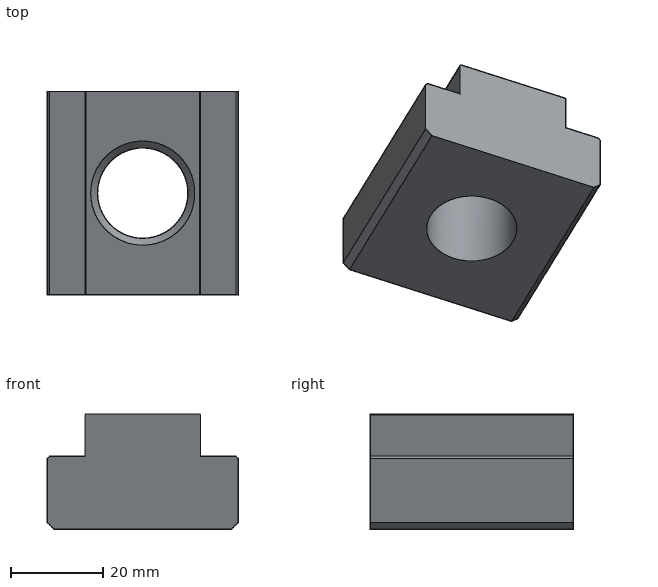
import cadquery as cq

length = 44.0
base_width = 41.3
total_height = 25.0

base_height = 15.85
neck_width = 25.0
bottom_chamfer = 1.5
shoulder_chamfer = 0.55
neck_chamfer = 0.2

bore_diameter = 19.5
countersink_diameter = 22.55
countersink_angle = 90.0


def chamfered_block(width, height, bottom, top_chamfer):
    """Centred block along Y with its two top lengthwise edges chamfered."""
    block = cq.Workplane("XY").workplane(offset=bottom).box(
        width, length, height, centered=(True, True, False)
    )
    return block.faces(">Z").edges("|Y").chamfer(top_chamfer)


base = chamfered_block(base_width, base_height, 0, shoulder_chamfer)
base = base.faces("<Z").edges("|Y").chamfer(bottom_chamfer)
neck = chamfered_block(neck_width, total_height - base_height, base_height, neck_chamfer)

result = (
    base.union(neck)
    .faces(">Z")
    .workplane(origin=(0, 0, total_height))
    .cskHole(bore_diameter, countersink_diameter, countersink_angle)
)